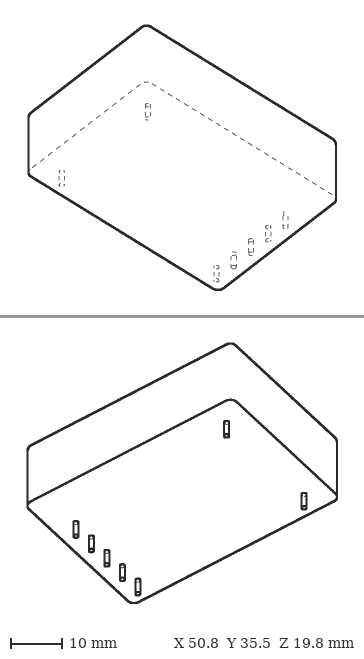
import cadquery as cq

length = 50.8
width = 35.5
housing_height = 16.2
edge_radius = 1.5

pin_diameter = 1.0
pin_length = 3.6
pin_pitch = 5.1
row_spacing = 40.65
left_row_steps = (-2.5, 2.5)
right_row_steps = (-2.5, -1.5, -0.5, 0.5, 1.5)


def make_housing():
    """Block with its underside at Z = 0."""
    block = cq.Workplane("XY").box(length, width, housing_height, centered=(True, True, False))
    return block.edges("|Z or >Z").fillet(edge_radius)


def make_pin(x, y):
    """Pin hanging from the underside of the housing."""
    return cq.Workplane("XY").center(x, y).circle(pin_diameter / 2).extrude(-pin_length)


housing = make_housing()

pins = []
for row_x, row_steps in ((-row_spacing / 2, left_row_steps), (row_spacing / 2, right_row_steps)):
    for step in row_steps:
        pins.append(make_pin(row_x, step * pin_pitch).val())

result = cq.Compound.makeCompound([housing.val(), *pins])